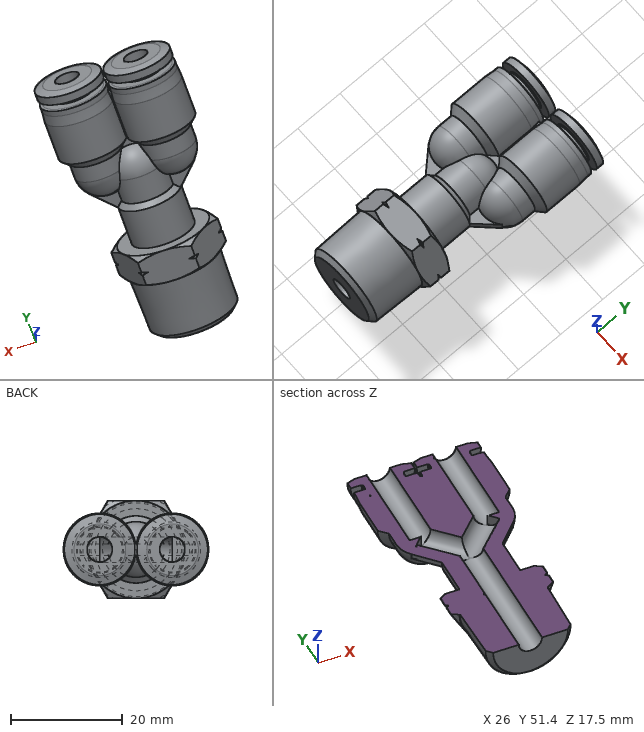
import cadquery as cq
import math

LENGTH = 51.4

thread_large_radius = 8.65
thread_small_radius = 8.4
thread_chamfer = 1.05

hex_start = 11.5
hex_end = 17.6
hex_flat_radius = 8.75
hex_bevel_angle = 30.0
hex_groove_radius = 9.55

collar_end = 25.15
collar_radius = 6.0
stem_radius = 5.0
stem_dome_center = 31.05

branch_dome_center = 32.85
neck_radius = stem_radius
body_diameter = 13.0
body_radius = body_diameter / 2
branch_offset = body_radius
body_start = 37.35
body_taper_start = 45.1
body_taper_end = 47.1
body_end = 48.2
body_end_radius = 6.3
body_end_chamfer = 0.15
body_end_face_radius = 5.8

sleeve_radius = 4.0
sleeve_flare = 0.2
ring_start = 49.35
ring_rim_end = 50.9
ring_face_radius = 4.65

web_thickness = 2.0
web_flank_angle = 45.0

bore_radius = 2.25
fork_angle = 45.0


def revolve_profile(points):
    """Revolve (radius, Y) points about the Y axis, closing the outline on the axis."""
    closed = [(0, points[0][1])] + points + [(0, points[-1][1])]
    return cq.Workplane("XY").polyline(closed).close().revolve(360, (0, 0, 0), (0, 1, 0))


def make_dome(radius, center):
    """Ball centred on the Y axis; half of it shows as the dome on a rod."""
    return cq.Workplane("XY").sphere(radius).translate((0, center, 0))


def make_thread():
    return revolve_profile([
        (thread_small_radius - thread_chamfer, 0),
        (thread_small_radius, thread_chamfer),
        (thread_large_radius, hex_start),
    ])


def make_hexagon():
    """Hexagon with both ends bevelled and a V groove around the corners at mid-length."""
    corner_radius = hex_flat_radius / math.cos(math.pi / 6)
    slope = math.tan(math.radians(hex_bevel_angle))
    bevel_height = (corner_radius - hex_flat_radius) * slope
    groove_half_width = (corner_radius - hex_groove_radius) * slope
    hex_middle = (hex_start + hex_end) / 2

    prism = (
        cq.Workplane("XZ", origin=(0, hex_start, 0))
        .polygon(6, 2 * corner_radius)
        .extrude(hex_start - hex_end)
    )
    envelope = revolve_profile([
        (hex_flat_radius, hex_start),
        (corner_radius, hex_start + bevel_height),
        (corner_radius, hex_middle - groove_half_width),
        (hex_groove_radius, hex_middle),
        (corner_radius, hex_middle + groove_half_width),
        (corner_radius, hex_end - bevel_height),
        (hex_flat_radius, hex_end),
    ])
    return prism.intersect(envelope)


def make_stem():
    collar = revolve_profile([
        (collar_radius, hex_end),
        (collar_radius, collar_end),
        (stem_radius, collar_end + collar_radius - stem_radius),
        (stem_radius, stem_dome_center),
    ])
    return collar.union(make_dome(stem_radius, stem_dome_center))


def make_branch():
    """One branch on the Y axis: domed neck, tube body, sleeve and release ring."""
    rod = revolve_profile([
        (neck_radius, branch_dome_center),
        (neck_radius, body_start - (body_radius - neck_radius)),
        (body_radius, body_start),
        (body_radius, body_taper_start),
        (body_end_radius, body_taper_end),
        (body_end_radius, body_end - body_end_chamfer),
        (body_end_face_radius, body_end),
        (sleeve_radius, body_end),
        (sleeve_radius, ring_start - sleeve_flare),
        (sleeve_radius + sleeve_flare, ring_start),
        (body_end_radius, ring_start),
        (body_end_radius, ring_rim_end),
        (ring_face_radius, LENGTH),
    ])
    return rod.union(make_dome(neck_radius, branch_dome_center))


def make_web():
    """Web whose slanted edges run from the collar shoulder to the outer flanks of the branch domes."""
    flank_angle = math.radians(web_flank_angle)
    flank_x = branch_offset + neck_radius * math.cos(flank_angle)
    flank_y = branch_dome_center - neck_radius * math.sin(flank_angle)
    right_edge = [
        (collar_radius, collar_end),
        (flank_x, flank_y),
        (branch_offset, branch_dome_center),
        (branch_offset, body_taper_end),
    ]
    left_edge = [(-x, y) for x, y in reversed(right_edge)]
    return (
        cq.Workplane("XY")
        .polyline(right_edge + left_edge)
        .close()
        .extrude(web_thickness / 2, both=True)
    )


def bore_between(start, end):
    """Round passage between two (X, Y) points on the middle plane."""
    direction = cq.Vector(end[0] - start[0], end[1] - start[1], 0)
    origin = cq.Vector(start[0], start[1], 0)
    return cq.Workplane(obj=cq.Solid.makeCylinder(bore_radius, direction.Length, origin, direction))


result = make_thread().union(make_hexagon()).union(make_stem()).union(make_web())
for side in (-1, 1):
    result = result.union(make_branch().translate((side * branch_offset, 0, 0)))

fork = (0, branch_dome_center - branch_offset / math.tan(math.radians(fork_angle)))
result = result.cut(bore_between((0, 0), fork))
for side in (-1, 1):
    bend = (side * branch_offset, branch_dome_center)
    result = result.cut(bore_between(fork, bend))
    result = result.cut(bore_between(bend, (bend[0], LENGTH)))